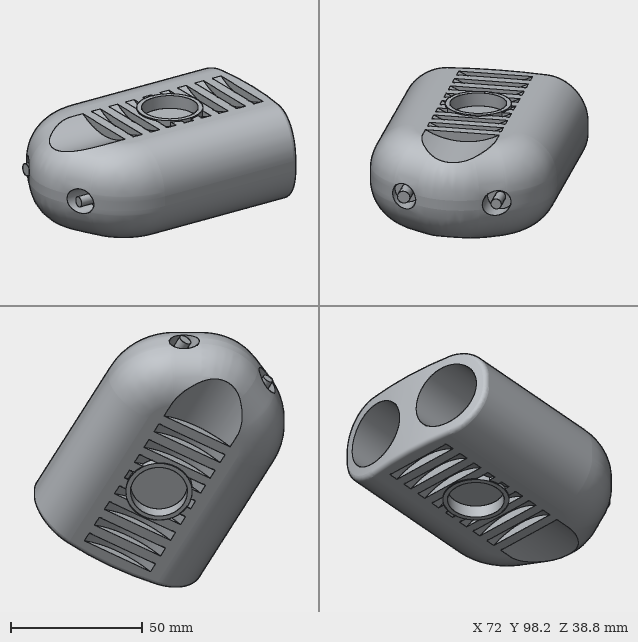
import cadquery as cq
import math

length = 98.2
width = 72.0
total_height = 38.8
pad_rise = 0.5
body_height = total_height - 2 * pad_rise
edge_band = 4.0
side_fillet = (body_height - edge_band) / 2
half_width = width / 2
top_z = body_height / 2

shoulder_y = 33.0
shoulder_radius = 28.5
flank_angle = math.radians(28.5)
back_radius = 137.5
back_fillet = 2.0

groove_width = 28.7
groove_depth = 3.7
groove_length = 3.9
groove_pitch = 8.0
rear_groove_count = 6
rear_groove_end = 92.3
front_groove_count = 2
scoop_end = 29.1

pad_y = 59.3
pad_diameter = 25.2
pad_recess_diameter = 21.6
pad_recess_depth = 5.3

socket_x = 18.0
socket_diameter = 10.0
socket_floor_y = 13.7
pin_end_y = 5.5
left_pin_diameter = 4.8
right_pin_diameter = 4.0

bore_diameter = 27.5
bore_depth = 39.3


def cylinder_y(x, diameter, y_start, y_end):
    """Cylinder parallel to Y at mid height."""
    plane = cq.Workplane("XZ", origin=(x, y_end, 0))
    return plane.circle(diameter / 2).extrude(y_end - y_start)


def cylinder_z(y, diameter, z_start, z_end):
    """Cylinder parallel to Z on the centre plane."""
    plane = cq.Workplane("XY", origin=(0, y, z_start))
    return plane.circle(diameter / 2).extrude(z_end - z_start)


def on_both_faces(shape):
    """The shape together with its mirror image below mid height."""
    return shape.union(shape.mirror("XY"))


def make_body():
    """Rounded shell shape with a blunt nose and a crowned back."""
    center_x = half_width - shoulder_radius

    def shoulder_point(angle):
        x = center_x + shoulder_radius * math.cos(angle)
        y = shoulder_y - shoulder_radius * math.sin(angle)
        return x, y

    shoulder_sweep = math.pi / 2 - flank_angle
    mid_x, mid_y = shoulder_point(shoulder_sweep / 2)
    flank_x, flank_y = shoulder_point(shoulder_sweep)

    flank_distance = flank_x * math.sin(flank_angle) - flank_y * math.cos(flank_angle)
    nose_radius = flank_distance / (1 - math.cos(flank_angle))
    nose_x = nose_radius * math.sin(flank_angle)
    nose_y = nose_radius * (1 - math.cos(flank_angle))

    blank_end = length + side_fillet
    blank = (
        cq.Workplane("XY", origin=(0, 0, -top_z))
        .moveTo(-half_width, blank_end)
        .lineTo(-half_width, shoulder_y)
        .threePointArc((-mid_x, mid_y), (-flank_x, flank_y))
        .lineTo(-nose_x, nose_y)
        .threePointArc((0, 0), (nose_x, nose_y))
        .lineTo(flank_x, flank_y)
        .threePointArc((mid_x, mid_y), (half_width, shoulder_y))
        .lineTo(half_width, blank_end)
        .close()
        .extrude(body_height)
    )
    blank = blank.faces("|Z").edges("not(>Y)").fillet(side_fillet)
    crown = cylinder_z(length - back_radius, 2 * back_radius, -top_z, top_z)
    return blank.intersect(crown).faces(">Y").edges().fillet(back_fillet)


def make_groove(y_start, y_end):
    """Pair of cylindrical troughs, in the top and bottom faces."""
    half_chord = groove_width / 2
    trough = (
        cq.Workplane("XZ", origin=(0, y_end, 0))
        .moveTo(-half_chord, top_z)
        .threePointArc((0, top_z - groove_depth), (half_chord, top_z))
        .close()
        .extrude(y_end - y_start)
    )
    return on_both_faces(trough)


def cut_grooves(body):
    """Rear grooves, front grooves and the thumb scoops ahead of them."""
    rear_ends = [rear_groove_end - i * groove_pitch for i in range(rear_groove_count)]
    front_ends = [scoop_end + (i + 1) * groove_pitch for i in range(front_groove_count)]
    for end in rear_ends + front_ends:
        body = body.cut(make_groove(end - groove_length, end))
    return body.cut(make_groove(0, scoop_end))


def add_pads(body):
    """Low round pads, each with a flat-bottomed recess."""
    pad_top = top_z + pad_rise
    recess_floor = pad_top - pad_recess_depth
    pad = cylinder_z(pad_y, pad_diameter, recess_floor, pad_top)
    recess = cylinder_z(pad_y, pad_recess_diameter, recess_floor, pad_top)
    return body.union(on_both_faces(pad)).cut(on_both_faces(recess))


def add_socket_and_bore(body, x, pin_diameter):
    """Nose socket with its pin, and the bore behind it."""
    body = body.cut(cylinder_y(x, socket_diameter, 0, socket_floor_y))
    body = body.union(cylinder_y(x, pin_diameter, pin_end_y, socket_floor_y))
    return body.cut(cylinder_y(x, bore_diameter, length - bore_depth, length))


result = add_pads(cut_grooves(make_body()))
result = add_socket_and_bore(result, -socket_x, left_pin_diameter)
result = add_socket_and_bore(result, socket_x, right_pin_diameter)